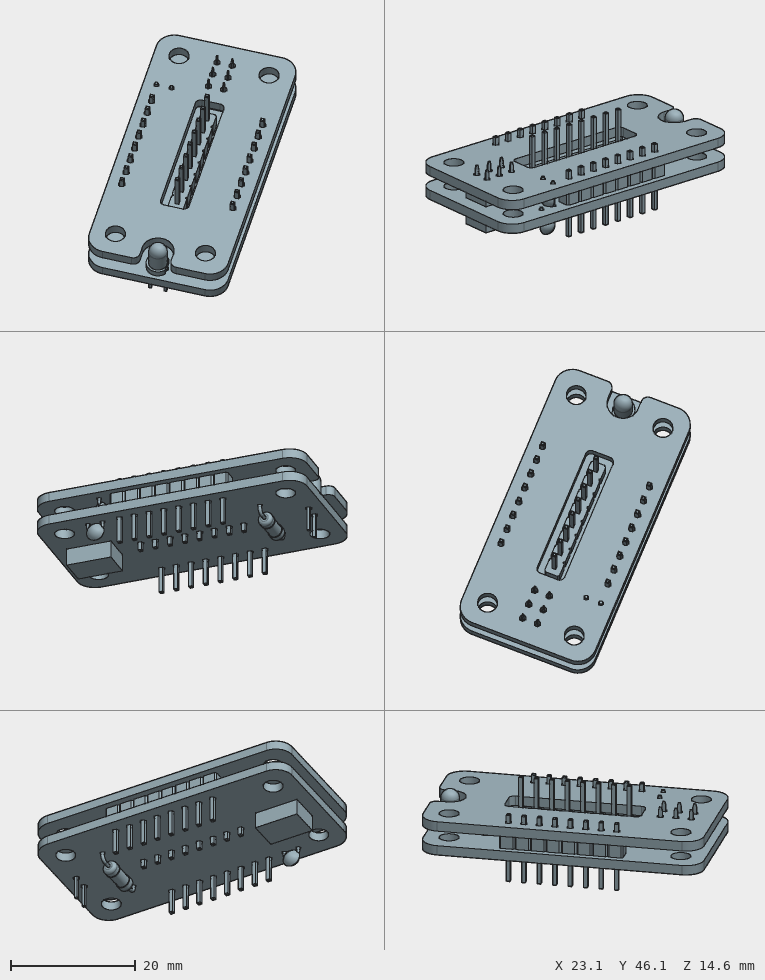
import cadquery as cq
import math

board_width = 23.05
board_length = 46.15
board_thickness = 1.6
board_gap = 2.5
corner_radius = 3.0
upper_z = board_thickness + board_gap

mount_hole_diameter = 3.2
mount_hole_inset = 4.05

pin_hole_diameter = 1.0
lead_hole_diameter = 0.8

pitch = 2.55
header_pins = 8
header_width = 2.55
header_chamfer = 0.28
pin_width = 0.65
pin_tip_chamfer = 0.15
pin_short_end = 3.0
pin_long_end = 6.05
side_header_x = 9.2
side_hole_x = 9.25

window_width = 4.7
window_length = 22.42
window_radius = 0.88

led_y = -20.55
led_diameter = 3.0
led_flange_diameter = 3.8
led_flange_height = 1.0
led_dome_base_z = 5.45
led_lead_width = 0.45
led_lead_bottom_z = -3.9
notch_radius = 2.6
notch_mouth_radius = 1.1

socket_columns = 2
socket_rows = 3
socket_y = 16.8
socket_height = 7.0
blade_thickness = 0.2
blade_width = 0.65
blade_tip_width = 0.3
blade_shoulder_height = 0.95
blade_tip_height = 1.55

resistor_y = -13.6
resistor_length = 6.2
resistor_diameter = 2.5
resistor_end_radius = 0.6
resistor_waist_diameter = 2.25
resistor_waist_length = 3.2
resistor_span = 4 * pitch
resistor_lead_diameter = 0.6
resistor_lead_bend = 0.9
resistor_lead_top = 3.1

capacitor_diameter = 3.0
capacitor_thickness = 2.0
capacitor_drop = 1.5
capacitor_lead_diameter = 0.5
capacitor_lead_bend = 1.2
capacitor_lead_top = 1.95
lower_capacitor_x = -9.0
lower_capacitor_y = 13.15
upper_capacitor_x = -8.1
upper_capacitor_y = 12.3

fillet_mid = 1 - math.cos(math.pi / 4)


def centred_row(count):
    """Positions of a row of pitched features, centred on zero."""
    return [(index - (count - 1) / 2) * pitch for index in range(count)]


pair = centred_row(2)
header_ys = centred_row(header_pins)
socket_points = [(x, socket_y + y) for x in centred_row(socket_columns) for y in centred_row(socket_rows)]
led_lead_points = [(x, led_y) for x in pair]
side_hole_points = [(side * side_hole_x, y) for side in (-1, 1) for y in header_ys]
center_hole_points = [(0, y) for y in header_ys]
resistor_lead_points = [(side * resistor_span / 2, resistor_y) for side in (-1, 1)]
lower_capacitor_points = [(lower_capacitor_x, lower_capacitor_y + y) for y in pair]
upper_capacitor_points = [(upper_capacitor_x + x, upper_capacitor_y) for x in pair]


def make_header():
    """Pin header standing on Z = 0, its row along Y and its long pin ends upward."""
    cell = (
        cq.Workplane("XY")
        .box(header_width, pitch, board_gap, centered=(True, True, False))
        .edges("|Z")
        .chamfer(header_chamfer)
    )
    pin = (
        cq.Workplane("XY")
        .box(pin_width, pin_width, pin_short_end + board_gap + pin_long_end, centered=(True, True, False))
        .faces("<Z or >Z")
        .chamfer(pin_tip_chamfer)
        .translate((0, 0, -pin_short_end))
    )
    position = cell.union(pin)
    header = cq.Workplane("XY")
    for y in header_ys:
        header = header.union(position.translate((0, y, 0)))
    return header


def make_led():
    """Domed LED with a flange that is flat on its +X side, and two square leads."""
    body_height = led_dome_base_z - board_thickness
    base = cq.Workplane("XY", origin=(0, led_y, board_thickness))
    flange = base.circle(led_flange_diameter / 2).extrude(led_flange_height)
    beyond_flat = base.center(led_flange_diameter / 2 + led_diameter / 2, 0).rect(
        led_flange_diameter, led_flange_diameter
    )
    flange = flange.cut(beyond_flat.extrude(led_flange_height))
    body = base.circle(led_diameter / 2).extrude(body_height)
    dome = cq.Workplane("XY").sphere(led_diameter / 2).translate((0, led_y, led_dome_base_z))
    leads = (
        cq.Workplane("XY", origin=(0, 0, led_lead_bottom_z))
        .pushPoints(led_lead_points)
        .rect(led_lead_width, led_lead_width)
        .extrude(board_thickness - led_lead_bottom_z)
    )
    return flange.union(body).union(dome).union(leads)


def make_socket_block():
    """Plain block of the socket, reaching down from the upper board."""
    return cq.Workplane("XY").box(
        socket_columns * pitch, socket_rows * pitch, socket_height, centered=(True, True, False)
    ).translate((0, socket_y, upper_z - socket_height))


def make_socket():
    """Socket block with flat, tapered solder blades through the upper board."""
    top_z = upper_z + board_thickness
    shoulder_z = top_z + blade_shoulder_height
    blade = (
        cq.Workplane("YZ")
        .moveTo(-blade_width / 2, upper_z)
        .lineTo(-blade_width / 2, shoulder_z)
        .lineTo(-blade_tip_width / 2, top_z + blade_tip_height)
        .lineTo(blade_tip_width / 2, top_z + blade_tip_height)
        .lineTo(blade_width / 2, shoulder_z)
        .lineTo(blade_width / 2, upper_z)
        .close()
        .extrude(blade_thickness / 2, both=True)
    )
    socket = make_socket_block()
    for x, y in socket_points:
        socket = socket.union(blade.translate((x, y, 0)))
    return socket


def bent_wire(diameter, span, drop, bend, top):
    """U-shaped wire in the XZ plane: two legs up to `top`, joined at `drop` below Z = 0."""
    half = span / 2
    bend_mid = bend * fillet_mid
    path = (
        cq.Workplane("XZ")
        .moveTo(-half, top)
        .lineTo(-half, bend - drop)
        .threePointArc((bend_mid - half, bend_mid - drop), (bend - half, -drop))
        .lineTo(half - bend, -drop)
        .threePointArc((half - bend_mid, bend_mid - drop), (half, bend - drop))
        .lineTo(half, top)
    )
    return cq.Workplane("XY", origin=(-half, 0, top)).circle(diameter / 2).sweep(path)


def make_resistor():
    """Round-ended axial resistor touching the underside of the lower board."""
    radius = resistor_diameter / 2
    body = (
        cq.Workplane("YZ", origin=(-resistor_length / 2, 0, 0))
        .circle(radius)
        .extrude(resistor_length)
        .faces("<X or >X")
        .edges()
        .fillet(resistor_end_radius)
    )
    waist_groove = (
        cq.Workplane("YZ", origin=(-resistor_waist_length / 2, 0, 0))
        .circle(radius)
        .circle(resistor_waist_diameter / 2)
        .extrude(resistor_waist_length)
    )
    wire = bent_wire(
        resistor_lead_diameter, resistor_span, radius, resistor_lead_bend, resistor_lead_top
    )
    return body.cut(waist_groove).translate((0, 0, -radius)).union(wire).translate((0, resistor_y, 0))


def make_capacitor():
    """Lens in the XZ plane hanging below Z = 0 on two bent leads spaced along X."""
    radius = capacitor_diameter / 2
    half_thickness = capacitor_thickness / 2
    face_radius = (radius**2 + half_thickness**2) / (2 * half_thickness)
    arc_mid_x = radius / 2
    arc_mid_y = (face_radius**2 - arc_mid_x**2) ** 0.5 - (face_radius - half_thickness)
    lens = (
        cq.Workplane("XY")
        .moveTo(0, -half_thickness)
        .threePointArc((arc_mid_x, -arc_mid_y), (radius, 0))
        .threePointArc((arc_mid_x, arc_mid_y), (0, half_thickness))
        .close()
        .revolve(360, (0, 0, 0), (0, 1, 0))
        .translate((0, 0, -capacitor_drop))
    )
    wire = bent_wire(
        capacitor_lead_diameter, pitch, capacitor_drop, capacitor_lead_bend, capacitor_lead_top
    )
    return lens.union(wire)


def make_blank_board():
    """Rounded board with its four mounting holes, underside on Z = 0."""
    return (
        cq.Workplane("XY")
        .box(board_width, board_length, board_thickness, centered=(True, True, False))
        .edges("|Z")
        .fillet(corner_radius)
        .faces(">Z")
        .workplane(origin=(0, 0, 0))
        .rect(board_width - 2 * mount_hole_inset, board_length - 2 * mount_hole_inset, forConstruction=True)
        .vertices()
        .hole(mount_hole_diameter)
    )


def drill(board, points, diameter):
    """Round through holes in a board whose underside is on Z = 0."""
    drills = cq.Workplane("XY").pushPoints(points).circle(diameter / 2).extrude(board_thickness)
    return board.cut(drills)


def make_lower_board(embedded_capacitor):
    """Lower board, with a socket opening and a recess for the capacitor sunk into its top."""
    board = make_blank_board()
    board = drill(board, side_hole_points + center_hole_points + led_lead_points, pin_hole_diameter)
    board = drill(board, resistor_lead_points + lower_capacitor_points, lead_hole_diameter)
    return board.cut(make_socket_block()).cut(embedded_capacitor)


def make_led_notch():
    """U-shaped notch, open at the -Y edge, with rounded corners at its mouth."""
    edge_y = -board_length / 2
    mouth_half = notch_radius + notch_mouth_radius
    mouth_top_y = edge_y + notch_mouth_radius
    mouth_mid = notch_mouth_radius * fillet_mid
    return (
        cq.Workplane("XY")
        .moveTo(-mouth_half, edge_y)
        .threePointArc((-notch_radius - mouth_mid, edge_y + mouth_mid), (-notch_radius, mouth_top_y))
        .lineTo(-notch_radius, led_y)
        .threePointArc((0, led_y + notch_radius), (notch_radius, led_y))
        .lineTo(notch_radius, mouth_top_y)
        .threePointArc((notch_radius + mouth_mid, edge_y + mouth_mid), (mouth_half, edge_y))
        .close()
        .extrude(board_thickness)
    )


def make_upper_board():
    """Upper board, with a window for the centre header and a notch for the LED."""
    window = (
        cq.Workplane("XY")
        .box(window_width, window_length, board_thickness, centered=(True, True, False))
        .edges("|Z")
        .fillet(window_radius)
    )
    board = make_blank_board().cut(window).cut(make_led_notch())
    board = drill(board, side_hole_points + socket_points, pin_hole_diameter)
    board = drill(board, upper_capacitor_points, lead_hole_diameter)
    return board.translate((0, 0, upper_z))


center_header = make_header().translate((0, 0, board_thickness))

side_headers = []
for side in (-1, 1):
    flipped = make_header().rotate((0, 0, 0), (0, 1, 0), 180)
    side_headers.append(flipped.translate((side * side_header_x, 0, upper_z)))

lower_capacitor = (
    make_capacitor().rotate((0, 0, 0), (0, 0, 1), 90).translate((lower_capacitor_x, lower_capacitor_y, 0))
)
upper_capacitor = (
    make_capacitor().translate((upper_capacitor_x, upper_capacitor_y, upper_z)).cut(lower_capacitor)
)

lower_board = make_lower_board(upper_capacitor)
upper_board = make_upper_board()
led = make_led()
socket = make_socket()
resistor = make_resistor()

result = cq.Compound.makeCompound(
    [
        lower_board.val(),
        upper_board.val(),
        center_header.val(),
        *[header.val() for header in side_headers],
        led.val(),
        socket.val(),
        resistor.val(),
        lower_capacitor.val(),
        upper_capacitor.val(),
    ]
)